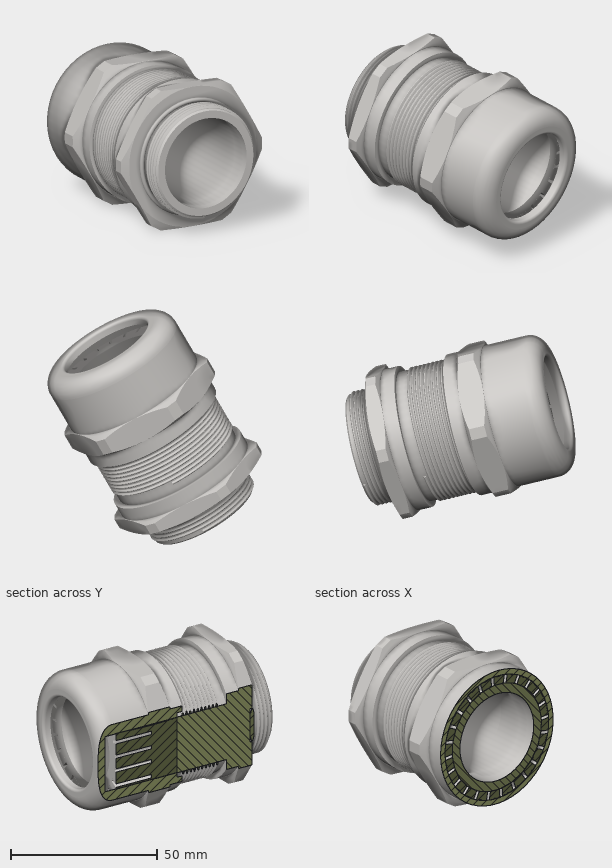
import cadquery as cq
import math


HEX_SIDES = 6
HALF_SIDE_ANGLE = 180.0 / HEX_SIDES
HEX_FLATS = 50.0

CAP_LENGTH = 33.55
CAP_DIA = 49.5
CAP_ROUND = 5.6
LIP_DIA = 32.6
LIP_LENGTH = 2.95
LIP_ROUND = 1.0
CAP_HEX_START = 20.1
CAP_HEX_LENGTH = 8.7
CAP_HEX_CORNERS = 55.5
CAP_HEX_BEVEL_ANGLE = 30.0

BODY_START = 31.65
BODY_END = 70.35
BORE_DIA = 32.1
NECK_DIA = 45.45
COLLAR_START = 51.0
COLLAR_DIA = CAP_DIA
BODY_HEX_START = 55.9
BODY_HEX_LENGTH = 5.5
BODY_HEX_END = BODY_HEX_START + BODY_HEX_LENGTH
BODY_HEX_CORNERS = 55.3
BODY_HEX_BEVEL_ANGLE = 20.0
SPIGOT_DIA = 38.5
SPIGOT_CHAMFER = 0.55

SEAL_START = 7.2
SEAL_DIA = 39.25
CAGE_DIA = 45.15
SLOT_COUNT = 24
SLOT_WIDTH = 1.05
SLOT_LENGTH = 14.1
SLOT_PITCH_ANGLE = 360.0 / SLOT_COUNT
FIRST_SLOT_ANGLE = 10.0

ORING_RADIUS = 0.85
ORING_CENTRE_RADIUS = SPIGOT_DIA / 2 + ORING_RADIUS
ORING_DIA = 2 * (ORING_CENTRE_RADIUS + ORING_RADIUS)

NECK_THREAD_LENGTH = 15.0
NECK_THREAD_TURNS = 10
PITCH = NECK_THREAD_LENGTH / NECK_THREAD_TURNS
THREAD_HEIGHT = 0.7
THREAD_ROOT_WIDTH = 1.05
THREAD_CREST_WIDTH = 0.2
NECK_THREAD_START = 32.8
NECK_THREAD_DIA = NECK_DIA + 2 * THREAD_HEIGHT
SPIGOT_THREAD_START = 63.3
SPIGOT_THREAD_TURNS = 4


def cylinder(dia, start, end):
    return cq.Workplane("YZ").workplane(offset=start).circle(dia / 2).extrude(end - start)


def tube(outer_dia, inner_dia, start, end):
    return cylinder(outer_dia, start, end).cut(cylinder(inner_dia, start, end))


def revolve_about_x(profile):
    return profile.revolve(360, (0, 0, 0), (1, 0, 0))


def hexagonal_prism(flats, start, length):
    """Prism along X with its flats facing up and down."""
    corners = flats / math.cos(math.radians(HALF_SIDE_ANGLE))
    return cq.Workplane("YZ").workplane(offset=start).polygon(HEX_SIDES, corners).extrude(length)


def beveled_hexagon(start, length, corners, bevel_angle):
    """Hexagonal prism with flattened corners and both ends beveled by a cone."""
    end = start + length
    prism = hexagonal_prism(HEX_FLATS, start, length)
    corner_planes = hexagonal_prism(corners, start, length).rotate((0, 0, 0), (1, 0, 0), HALF_SIDE_ANGLE)

    inner_radius = HEX_FLATS / 2
    outer_radius = inner_radius / math.cos(math.radians(HALF_SIDE_ANGLE))
    bevel_length = (outer_radius - inner_radius) * math.tan(math.radians(bevel_angle))
    profile = (
        cq.Workplane("XY")
        .moveTo(start, 0)
        .lineTo(start, inner_radius)
        .lineTo(start + bevel_length, outer_radius)
        .lineTo(end - bevel_length, outer_radius)
        .lineTo(end, inner_radius)
        .lineTo(end, 0)
        .close()
    )
    return prism.intersect(corner_planes).intersect(revolve_about_x(profile))


def make_cap():
    cap = cylinder(CAP_DIA, 0, CAP_LENGTH).faces("<X").edges().fillet(CAP_ROUND)
    cap = cap.union(beveled_hexagon(CAP_HEX_START, CAP_HEX_LENGTH, CAP_HEX_CORNERS, CAP_HEX_BEVEL_ANGLE))

    cap = cap.cut(cylinder(LIP_DIA, 0, LIP_LENGTH))
    cap = cap.faces("<X").edges(cq.selectors.RadiusNthSelector(0)).fillet(LIP_ROUND)

    cap = cap.cut(cylinder(CAGE_DIA, LIP_LENGTH, BODY_START))
    return cap.cut(cylinder(NECK_THREAD_DIA, BODY_START, CAP_LENGTH))


def make_seal():
    return tube(SEAL_DIA, BORE_DIA, SEAL_START, BODY_START)


def make_cage():
    """Sleeve round the seal, slotted into fingers at the cap end."""
    cage = tube(CAGE_DIA, SEAL_DIA, SEAL_START, BODY_START)
    slot = (
        cq.Workplane("XY")
        .box(SLOT_LENGTH, SLOT_WIDTH, CAGE_DIA, centered=(False, True, False))
        .translate((SEAL_START, 0, 0))
    )
    for i in range(SLOT_COUNT):
        angle = FIRST_SLOT_ANGLE + i * SLOT_PITCH_ANGLE
        cage = cage.cut(slot.rotate((0, 0, 0), (1, 0, 0), angle))
    return cage


def make_body():
    body = cylinder(SPIGOT_DIA, BODY_START, BODY_END).faces(">X").edges().chamfer(SPIGOT_CHAMFER)
    body = body.union(cylinder(NECK_DIA, BODY_START, COLLAR_START))
    body = body.union(cylinder(COLLAR_DIA, COLLAR_START, BODY_HEX_START))
    body = body.union(
        beveled_hexagon(BODY_HEX_START, BODY_HEX_LENGTH, BODY_HEX_CORNERS, BODY_HEX_BEVEL_ANGLE)
    )
    oring_recess = tube(ORING_DIA, SPIGOT_DIA, BODY_HEX_END - ORING_RADIUS, BODY_HEX_END)
    return body.cut(oring_recess).cut(cylinder(BORE_DIA, BODY_START, BODY_END))


def make_oring():
    section = cq.Workplane("XY").moveTo(BODY_HEX_END, ORING_CENTRE_RADIUS).circle(ORING_RADIUS)
    return revolve_about_x(section)


def make_thread(root_dia, start, turns):
    """Right-handed ridge wound round a cylinder, beginning and ending on its underside."""
    root = root_dia / 2
    crest = root + THREAD_HEIGHT
    helix = cq.Wire.makeHelix(PITCH, turns * PITCH, root)
    ridge = (
        cq.Workplane("XZ")
        .moveTo(root, -THREAD_ROOT_WIDTH / 2)
        .lineTo(crest, -THREAD_CREST_WIDTH / 2)
        .lineTo(crest, THREAD_CREST_WIDTH / 2)
        .lineTo(root, THREAD_ROOT_WIDTH / 2)
        .close()
        .sweep(cq.Workplane(helix), isFrenet=True)
    )
    return ridge.rotate((0, 0, 0), (0, 1, 0), 90).translate((start, 0, 0))


cap = make_cap()
seal = make_seal()
cage = make_cage()
body = make_body()
oring = make_oring()

thread_places = [
    (NECK_DIA, NECK_THREAD_START, NECK_THREAD_TURNS),
    (SPIGOT_DIA, SPIGOT_THREAD_START, SPIGOT_THREAD_TURNS),
]
threads = [make_thread(root_dia, start, turns) for root_dia, start, turns in thread_places]

result = cq.Compound.makeCompound(
    [cap.val(), seal.val(), cage.val(), body.val(), oring.val(), *[thread.val() for thread in threads]]
)